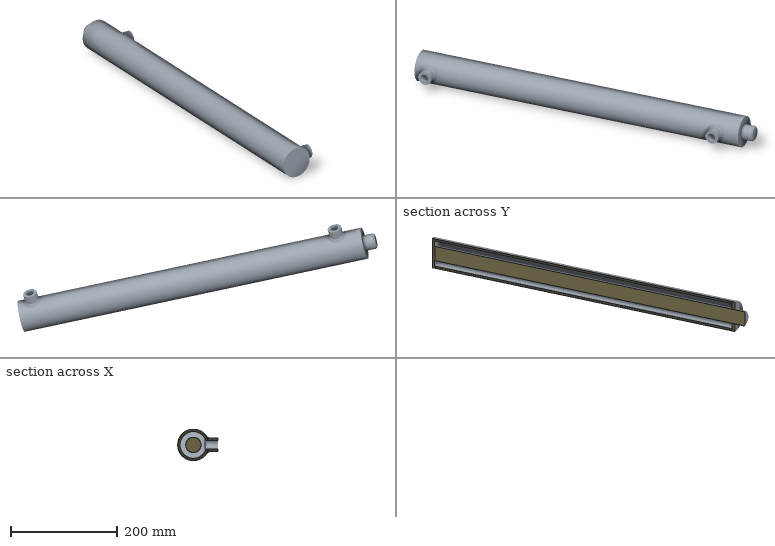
import cadquery as cq

overall_length = 690.0
barrel_diameter = 60.0
bore_diameter = 50.0

rod_diameter = 30.0
rod_protrusion = 22.0
tip_chamfer = 3.0

head_thickness = 8.0
cap_thickness = 6.0
cap_weld_width = 2.0

port_diameter = 26.0
port_bore_diameter = 15.0
overall_depth = 76.5
port_reach = overall_depth - barrel_diameter / 2
port_positions = (69.0, 662.0)
bead_leg = 3.5

barrel_start = rod_protrusion + head_thickness
cap_start = overall_length - cap_thickness
barrel_end = cap_start - cap_weld_width


def axial_cylinder(diameter, start, end):
    """Solid round bar about the X axis between two stations."""
    return cq.Workplane("YZ", origin=(start, 0, 0)).circle(diameter / 2).extrude(end - start)


def axial_tube(outer_diameter, inner_diameter, start, end):
    """Ring about the X axis between two stations."""
    outer = axial_cylinder(outer_diameter, start, end)
    return outer.cut(axial_cylinder(inner_diameter, start, end))


def radial_cylinder(diameter, position):
    """Solid round bar from the main axis out to the port face, along +Y."""
    return (
        cq.Workplane("XZ", origin=(position, 0, 0))
        .circle(diameter / 2)
        .extrude(-port_reach)
    )


def make_rod():
    """Rod running from its exposed tip to the front of the end cap."""
    return axial_cylinder(rod_diameter, 0, cap_start).faces("<X").chamfer(tip_chamfer)


def make_head():
    return axial_tube(barrel_diameter, rod_diameter, rod_protrusion, barrel_start)


def make_barrel():
    """Tube with an oil passage through its wall under each port."""
    barrel = axial_tube(barrel_diameter, bore_diameter, barrel_start, barrel_end)
    for position in port_positions:
        barrel = barrel.cut(radial_cylinder(port_bore_diameter, position))
    return barrel


def make_cap_weld():
    return axial_tube(barrel_diameter, bore_diameter, barrel_end, cap_start)


def make_end_cap():
    return axial_cylinder(barrel_diameter, cap_start, overall_length)


def make_port(position):
    """Bored stub whose foot is saddled onto the barrel."""
    stub = radial_cylinder(port_diameter, position)
    bore = radial_cylinder(port_bore_diameter, position)
    return stub.cut(bore).cut(axial_cylinder(barrel_diameter, 0, overall_length))


def make_port_weld(position):
    """Bead filling the corner between port and barrel."""
    barrel_envelope = axial_cylinder(barrel_diameter, position - port_diameter, position + port_diameter)
    port_envelope = radial_cylinder(port_diameter, position)
    joined = barrel_envelope.union(port_envelope)
    half_window = port_diameter / 2 + bead_leg
    seam = joined.edges(
        cq.selectors.BoxSelector(
            (position - half_window, bore_diameter / 2, -half_window),
            (position + half_window, barrel_diameter / 2, half_window),
        )
    )
    welded = seam.chamfer(bead_leg)
    return welded.cut(barrel_envelope).cut(port_envelope)


rod = make_rod()
head = make_head()
barrel = make_barrel()
cap_weld = make_cap_weld()
end_cap = make_end_cap()
ports = [make_port(position) for position in port_positions]
port_welds = [make_port_weld(position) for position in port_positions]

result = cq.Compound.makeCompound([
    rod.val(),
    head.val(),
    barrel.val(),
    cap_weld.val(),
    end_cap.val(),
    *[port.val() for port in ports],
    *[solid for weld in port_welds for solid in weld.vals()],
])